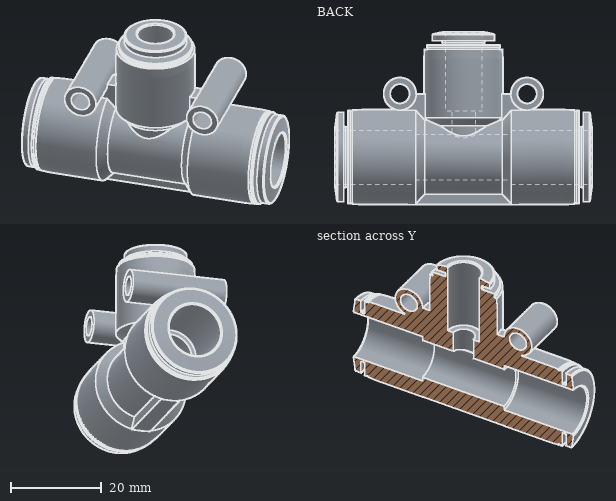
import cadquery as cq

RUN_LENGTH = 56.8
RUN_BODY_D = 21.0
RUN_BODY_MOUTH_D = 20.8
RUN_COLLAR_D = 20.6
RUN_FLANGE_D = 19.8
RUN_NECK_D = 13.4
RUN_SOCKET_D = 12.0
RUN_BORE_D = 10.0
WAIST_D = 16.8
WAIST_HALF_LENGTH = 8.5
SHOULDER_X = 10.5

BRANCH_TOP_Z = 27.65
BRANCH_BODY_D = 17.5
BRANCH_BODY_MOUTH_D = 17.25
BRANCH_COLLAR_D = 16.3
BRANCH_FLANGE_D = 13.8
BRANCH_NECK_D = 9.4
BRANCH_SOCKET_D = 8.0
BRANCH_BORE_D = 5.1
BRANCH_ROOT_D = 14.0
BRANCH_SHOULDER_Z = 8.65
BRANCH_SOCKET_FLOOR_Z = 10.2

RIM_CREST = 0.45
RIM_EDGE = 0.7
FLANGE_BACK = 2.05
NECK_CONE_END = 2.4
COLLAR_FRONT = 2.9
BODY_FRONT = 3.9
BODY_TAPER_END = 6.0
RIM_BEVEL = 0.3
NECK_FLARE = 0.1
MOUTH_CHAMFER = 0.3
COLLAR_CHAMFER = 0.1
COLLAR_GROOVE_DEPTH = 0.15

LUG_D = 7.2
LUG_HOLE_D = 4.2
LUG_LENGTH = 21.7
LUG_X = 14.05
LUG_Z = 14.0
WEB_THICKNESS = 4.25
WEB_BOTTOM_Z = -10.45


def port_profile(body_d, mouth_d, collar_d, flange_d, neck_d, socket_d):
    """(radius, distance from port end) points from the mouth to the end of the body taper."""
    flange_r = flange_d / 2
    neck_r = neck_d / 2
    collar_r = collar_d / 2
    groove_r = collar_r - COLLAR_GROOVE_DEPTH
    groove_start = (COLLAR_FRONT + BODY_FRONT) / 2
    return [
        (0, 0),
        (socket_d / 2 + MOUTH_CHAMFER, 0),
        (flange_r - RIM_BEVEL, RIM_CREST),
        (flange_r, RIM_EDGE),
        (flange_r, FLANGE_BACK),
        (neck_r + NECK_FLARE, FLANGE_BACK),
        (neck_r, NECK_CONE_END),
        (neck_r, COLLAR_FRONT),
        (collar_r - COLLAR_CHAMFER, COLLAR_FRONT),
        (collar_r, COLLAR_FRONT + COLLAR_CHAMFER),
        (collar_r, groove_start),
        (groove_r, groove_start),
        (groove_r, BODY_FRONT),
        (mouth_d / 2, BODY_FRONT),
        (body_d / 2, BODY_TAPER_END),
    ]


def make_run():
    """Revolve one half of the run about X and mirror it to the other side."""
    half_length = RUN_LENGTH / 2
    port = port_profile(RUN_BODY_D, RUN_BODY_MOUTH_D, RUN_COLLAR_D, RUN_FLANGE_D, RUN_NECK_D, RUN_SOCKET_D)
    points = [(distance - half_length, radius) for radius, distance in port]
    points += [
        (-SHOULDER_X, RUN_BODY_D / 2),
        (-WAIST_HALF_LENGTH, WAIST_D / 2),
        (0, WAIST_D / 2),
        (0, 0),
    ]
    half = cq.Workplane("XZ").polyline(points).close().revolve(360, (0, 0), (1, 0))
    return half.union(half.mirror("YZ"))


def make_branch():
    """Revolve the branch about Z, from the run axis up to its port."""
    port = port_profile(
        BRANCH_BODY_D, BRANCH_BODY_MOUTH_D, BRANCH_COLLAR_D, BRANCH_FLANGE_D, BRANCH_NECK_D, BRANCH_SOCKET_D
    )
    root_r = BRANCH_ROOT_D / 2
    body_r = BRANCH_BODY_D / 2
    points = [(radius, BRANCH_TOP_Z - distance) for radius, distance in port]
    points += [
        (body_r, BRANCH_SHOULDER_Z),
        (root_r, BRANCH_SHOULDER_Z - (body_r - root_r)),
        (root_r, 0),
        (0, 0),
    ]
    return cq.Workplane("XZ").polyline(points).close().revolve(360, (0, 0), (0, 1))


def lug_cylinders(diameter):
    """A pair of cylinders along Y at the two lug positions."""
    return (
        cq.Workplane("XZ", origin=(0, LUG_LENGTH / 2, 0))
        .pushPoints([(-LUG_X, LUG_Z), (LUG_X, LUG_Z)])
        .circle(diameter / 2)
        .extrude(LUG_LENGTH)
    )


def web(half_length, end_z):
    """Upright plate centred on the XZ plane, from the run axis to end_z."""
    return cq.Workplane("XY").rect(2 * half_length, WEB_THICKNESS).extrude(end_z)


def socket_cutter(socket_d, depth):
    """Blind socket along +Z from the origin, with a chamfered mouth."""
    mouth_r = socket_d / 2 + MOUTH_CHAMFER
    points = [(0, 0), (mouth_r, 0), (socket_d / 2, MOUTH_CHAMFER), (socket_d / 2, depth), (0, depth)]
    return cq.Workplane("XZ").polyline(points).close().revolve(360, (0, 0), (0, 1))


def make_bores():
    """Through bore of the run, branch bore and the three tube sockets."""
    run_bore = cq.Workplane("YZ").circle(RUN_BORE_D / 2).extrude(RUN_LENGTH / 2, both=True)
    branch_bore = cq.Workplane("XY").circle(BRANCH_BORE_D / 2).extrude(BRANCH_TOP_Z)
    bores = run_bore.union(branch_bore)
    run_socket = socket_cutter(RUN_SOCKET_D, RUN_LENGTH / 2 - SHOULDER_X)
    run_socket = run_socket.rotate((0, 0, 0), (0, 1, 0), 90).translate((-RUN_LENGTH / 2, 0, 0))
    branch_socket = socket_cutter(BRANCH_SOCKET_D, BRANCH_TOP_Z - BRANCH_SOCKET_FLOOR_Z)
    branch_socket = branch_socket.rotate((0, 0, 0), (1, 0, 0), 180).translate((0, 0, BRANCH_TOP_Z))
    return bores.union(run_socket).union(run_socket.mirror("YZ")).union(branch_socket)


body = make_run().union(make_branch())
body = body.union(web(LUG_X, LUG_Z)).union(web(SHOULDER_X, WEB_BOTTOM_Z))
body = body.union(lug_cylinders(LUG_D))
result = body.cut(lug_cylinders(LUG_HOLE_D)).cut(make_bores())